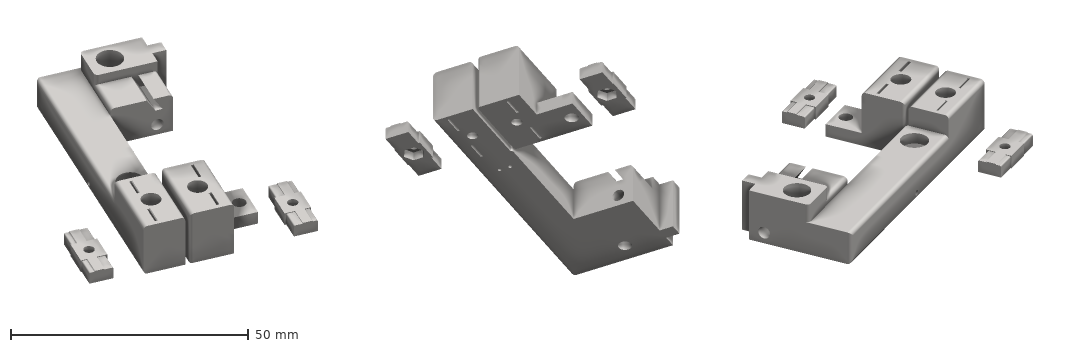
import cadquery as cq
import math

LENGTH = 63.0
EDGE_RADIUS = 0.95
SMALL_RADIUS = 0.6

ARM_DEPTH = 9.9
ARM_HEIGHT = 7.7
HEAD_WIDTH = 9.1
HEAD_BACK = 24.0
HEAD_HEIGHT = 12.0
KEY_WIDTH = 2.95
KEY_BACK = 27.15
LEDGE_RIGHT = 18.1
LEDGE_HEIGHT = 9.5
HEAD_HOLE_Y = 15.0
HEAD_HOLE_DIAMETER = 3.0
HEAD_BORE_DIAMETER = 6.0
HEAD_BORE_DEPTH = 6.0
CABLE_HOLE_DIAMETER = 2.8
CABLE_HOLE_Y = 20.5
CABLE_HOLE_Z = 2.6
SLIT_FRONT = 18.1
SLIT_WIDTH = 1.6
SLIT_TILT = 32.0
SLIT_DEPTH = 3.15
POCKET_X = 40.95
POCKET_Y = 5.55
POCKET_DIAMETER = 6.2
POCKET_DEPTH = 2.5
LEAD_HOLE_DIAMETER = 0.8
LEAD_SPACING = 2.5
SIDE_HOLE_X = 30.95
SIDE_HOLE_Z = 1.6
SIDE_HOLE_DIAMETER = 1.25
SIDE_HOLE_DEPTH = 3.15

JAW_WIDTH = 17.0
JAW_LEFT = LENGTH - JAW_WIDTH
JAW_CENTER_X = LENGTH - JAW_WIDTH / 2
FRONT_JAW_BACK = 9.45
FRONT_JAW_HEIGHT = 12.5
FRONT_JAW_HOLE_Y = 5.0
REAR_JAW_FRONT = 10.5
REAR_JAW_DEPTH = 9.95
REAR_JAW_BACK = REAR_JAW_FRONT + REAR_JAW_DEPTH
REAR_JAW_HEIGHT = 13.0
REAR_JAW_HOLE_Y = 15.5
JAW_HOLE_DIAMETER = 2.4
JAW_BORE_DIAMETER = 4.4
JAW_BORE_DEPTH = 4.0
JAW_SLOT_WIDTH = 0.7
JAW_SLOT_INNER = 1.3
JAW_SLOT_BEVEL = 0.2
TAB_WIDTH = 9.0
TAB_BACK = 29.0
TAB_HEIGHT = 3.0
TAB_HOLE_DIAMETER = 3.1
TAB_HOLE_Y = 26.45

CLIP_LENGTH = 15.0
CLIP_CENTER_SIZE = 6.0
CLIP_HEIGHT = 3.0
CLIP_ARM_LENGTH = (CLIP_LENGTH - CLIP_CENTER_SIZE) / 2
CLIP_OUTER_INSET = 0.2
CLIP_INNER_INSET = 0.4
CLIP_STEP = 0.2
CLIP_EDGE_RADIUS = 0.3
RIDGE_OUTER = 1.5
RIDGE_INNER = 0.6
NUT_ACROSS_FLATS = 4.05
NUT_DEPTH = 2.0
HEX_SIDES = 6
HEX_HALF_ANGLE = 180 / HEX_SIDES
REAR_CLIP_Y = 37.0
FRONT_CLIP_Y = -9.0


def block(x_min, x_max, y_min, y_max, z_min, z_max):
    """Box given by its limits along each axis."""
    size = (x_max - x_min, y_max - y_min, z_max - z_min)
    return cq.Workplane("XY").box(*size, centered=False).translate((x_min, y_min, z_min))


def upright_hole(x, y, diameter, z_min, z_max):
    """Cutter for a vertical round hole."""
    return cq.Workplane("XY", origin=(x, y, z_min)).circle(diameter / 2).extrude(z_max - z_min)


def counterbored_hole(x, y, top, diameter, bore_diameter, bore_depth):
    """Cutter for a vertical through hole with a wider bore from the top."""
    hole = upright_hole(x, y, diameter, 0, top)
    return hole.union(upright_hole(x, y, bore_diameter, top - bore_depth, top))


def jaw_openings(y, top, slot_side):
    """Cutter for a jaw: its screw hole and the two slots; slot_side is +1 for behind the screw."""
    cutter = counterbored_hole(JAW_CENTER_X, y, top, JAW_HOLE_DIAMETER, JAW_BORE_DIAMETER, JAW_BORE_DEPTH)
    inner = y + slot_side * JAW_SLOT_INNER
    bevel_end = inner + slot_side * JAW_SLOT_BEVEL
    outer = inner + slot_side * JAW_SLOT_WIDTH
    section = [(bevel_end, 0), (outer, 0), (outer, top), (inner, top), (bevel_end, top - JAW_SLOT_BEVEL)]
    for slot_left in (JAW_CENTER_X - CLIP_LENGTH / 2, JAW_CENTER_X + CLIP_LENGTH / 2 - CLIP_ARM_LENGTH):
        slot = cq.Workplane("YZ", origin=(slot_left, 0, 0)).polyline(section).close()
        cutter = cutter.union(slot.extrude(CLIP_ARM_LENGTH))
    return cutter


def make_arm():
    """Arm and front jaw; the rounded front edges meet the rounded upright end edge in a miter."""
    bar = block(0, JAW_LEFT, 0, ARM_DEPTH, 0, ARM_HEIGHT)
    rounded_front = bar.edges("|X and <Y").fillet(EDGE_RADIUS)
    rounded_end = bar.edges("|Z and <X and <Y").fillet(EDGE_RADIUS)
    rounded_corner = bar.edges("|Z and >X and >Y").fillet(SMALL_RADIUS)
    arm = rounded_front.intersect(rounded_end).intersect(rounded_corner)
    jaw = block(JAW_LEFT, LENGTH, 0, FRONT_JAW_BACK, 0, FRONT_JAW_HEIGHT)
    jaw = jaw.edges("|X and (>Z or <Y)").fillet(EDGE_RADIUS)
    return arm.union(jaw)


def make_head():
    base = block(0, HEAD_WIDTH, ARM_DEPTH, HEAD_BACK, 0, ARM_HEIGHT)
    upper = block(0, HEAD_WIDTH, ARM_DEPTH, HEAD_BACK, ARM_HEIGHT, HEAD_HEIGHT)
    upper = upper.edges("|Z and <Y").fillet(EDGE_RADIUS)
    key_left = (HEAD_WIDTH - KEY_WIDTH) / 2
    key = block(key_left, key_left + KEY_WIDTH, HEAD_BACK, KEY_BACK, 0, HEAD_HEIGHT)
    ledge = block(HEAD_WIDTH / 2, LEDGE_RIGHT, ARM_DEPTH, HEAD_BACK, 0, LEDGE_HEIGHT)
    ledge = ledge.edges("|X and >Z").fillet(EDGE_RADIUS).cut(ledge_slit())
    return base.union(upper).union(key).union(ledge)


def ledge_slit():
    """Cutter for the slit across the ledge, leaning backward as it goes down."""
    lean = SLIT_DEPTH * math.tan(math.radians(SLIT_TILT))
    bottom = LEDGE_HEIGHT - SLIT_DEPTH
    outline = [
        (SLIT_FRONT, LEDGE_HEIGHT),
        (SLIT_FRONT + SLIT_WIDTH, LEDGE_HEIGHT),
        (SLIT_FRONT + SLIT_WIDTH + lean, bottom),
        (SLIT_FRONT + lean, bottom),
    ]
    section = cq.Workplane("YZ", origin=(HEAD_WIDTH, 0, 0)).polyline(outline).close()
    return section.extrude(LEDGE_RIGHT - HEAD_WIDTH)


def make_bracket():
    bracket = make_arm().union(make_head())
    bracket = bracket.cut(jaw_openings(FRONT_JAW_HOLE_Y, FRONT_JAW_HEIGHT, -1))
    bracket = bracket.cut(
        counterbored_hole(
            HEAD_WIDTH / 2, HEAD_HOLE_Y, HEAD_HEIGHT, HEAD_HOLE_DIAMETER, HEAD_BORE_DIAMETER, HEAD_BORE_DEPTH
        )
    )
    cable_hole = cq.Workplane("YZ").center(CABLE_HOLE_Y, CABLE_HOLE_Z).circle(CABLE_HOLE_DIAMETER / 2)
    bracket = bracket.cut(cable_hole.extrude(LEDGE_RIGHT))
    pocket_floor = ARM_HEIGHT - POCKET_DEPTH
    bracket = bracket.cut(upright_hole(POCKET_X, POCKET_Y, POCKET_DIAMETER, pocket_floor, ARM_HEIGHT))
    for side in (-1, 1):
        lead_y = POCKET_Y + side * LEAD_SPACING / 2
        bracket = bracket.cut(upright_hole(POCKET_X, lead_y, LEAD_HOLE_DIAMETER, 0, pocket_floor))
    side_hole = cq.Workplane("XZ").center(SIDE_HOLE_X, SIDE_HOLE_Z).circle(SIDE_HOLE_DIAMETER / 2)
    return bracket.cut(side_hole.extrude(-SIDE_HOLE_DEPTH))


def make_rear_jaw():
    jaw = block(JAW_LEFT, LENGTH, REAR_JAW_FRONT, REAR_JAW_BACK, 0, REAR_JAW_HEIGHT)
    rounded_top = jaw.edges("|X and >Z").fillet(EDGE_RADIUS)
    jaw = jaw.edges("|Z and <Y").fillet(SMALL_RADIUS).intersect(rounded_top)
    tab = block(JAW_LEFT, JAW_LEFT + TAB_WIDTH, REAR_JAW_BACK, TAB_BACK, 0, TAB_HEIGHT)
    jaw = jaw.union(tab)
    jaw = jaw.cut(upright_hole(JAW_LEFT + TAB_WIDTH / 2, TAB_HOLE_Y, TAB_HOLE_DIAMETER, 0, TAB_HEIGHT))
    return jaw.cut(jaw_openings(REAR_JAW_HOLE_Y, REAR_JAW_HEIGHT, 1))


def make_clip(y, outer_side):
    """Clip centered at y; outer_side is +1 where its outer side faces backward, -1 forward."""
    half = CLIP_CENTER_SIZE / 2
    low = CLIP_HEIGHT - CLIP_STEP
    center = cq.Workplane("XY").rect(CLIP_CENTER_SIZE, CLIP_CENTER_SIZE).extrude(CLIP_HEIGHT)
    arm_front = CLIP_INNER_INSET - half
    arm_back = half - CLIP_OUTER_INSET
    arms = block(-CLIP_LENGTH / 2, CLIP_LENGTH / 2, arm_front, arm_back, 0, low)
    arms = arms.edges("|X and >Z").fillet(CLIP_EDGE_RADIUS)
    ridge_outline = [
        (-RIDGE_INNER, 0),
        (RIDGE_OUTER + CLIP_STEP, 0),
        (RIDGE_OUTER + CLIP_STEP, low),
        (RIDGE_OUTER, CLIP_HEIGHT),
        (-RIDGE_INNER, CLIP_HEIGHT),
    ]
    ridge = cq.Workplane("YZ").polyline(ridge_outline).close().extrude(CLIP_LENGTH / 2, both=True)
    clip = center.union(arms).union(ridge).cut(upright_hole(0, 0, JAW_HOLE_DIAMETER, 0, CLIP_HEIGHT))
    nut_corners = NUT_ACROSS_FLATS / math.cos(math.radians(HEX_HALF_ANGLE))
    nut = cq.Workplane("XY").polygon(HEX_SIDES, nut_corners).extrude(NUT_DEPTH)
    clip = clip.cut(nut.rotate((0, 0, 0), (0, 0, 1), HEX_HALF_ANGLE))
    if outer_side < 0:
        clip = clip.mirror("XZ")
    return clip.translate((JAW_CENTER_X, y, 0))


bracket = make_bracket()
rear_jaw = make_rear_jaw()
clips = [make_clip(y, side) for y, side in ((REAR_CLIP_Y, 1), (FRONT_CLIP_Y, -1))]

result = cq.Compound.makeCompound([bracket.val(), rear_jaw.val(), *[clip.val() for clip in clips]])